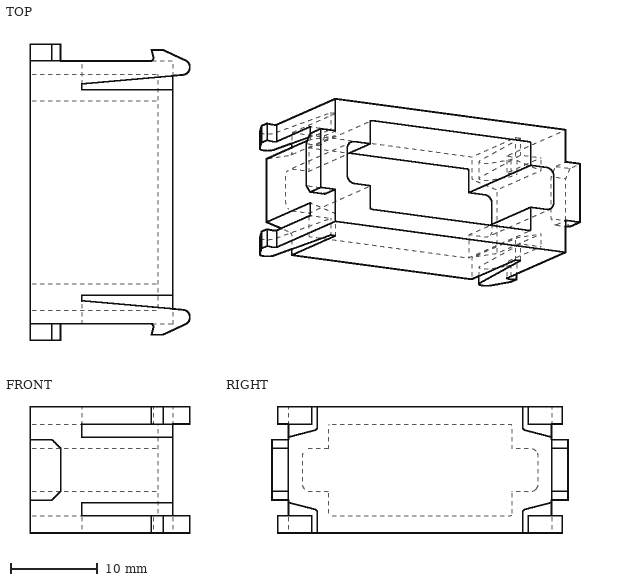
import cadquery as cq
import math

body_depth = 16.5
body_half_length = 15.2
height = 14.6
half_height = height / 2

back_wall = 1.7
cavity_depth = body_depth - back_wall
cavity_length = 21.15
cavity_height = 10.57
cavity_corner_radius = 0.17
side_pocket_length = 27.22
side_pocket_height = 5.0
side_pocket_radius = 0.92

tab_reach = 17.1
tab_depth = 3.52
tab_height = 6.98
tab_chamfer = 1.0

arm_thickness = 2.02
slot_start = 6.0
slot_inner_y = 11.87
slot_inner_depth = 2.67
slot_outer_depth = 3.52
slot_fillet = 0.35
arm_root_y = 12.52

hook_tip_x = 14.02
hook_tip_y = 16.45
hook_back_x = 14.23
hook_back_y = 15.63
hook_root_rise = 0.25
hook_flat_end_x = 15.35
hook_slope_angle = math.radians(25.6)
arm_reach = 18.47
nose_radius = 0.9
nose_x = arm_reach - nose_radius
nose_y = 14.43
arm_inner_angle = math.radians(4.8)


def nose_point(angle):
    """Point on the rounded nose at an angle measured from +X."""
    return (nose_x + nose_radius * math.cos(angle), nose_y + nose_radius * math.sin(angle))


def make_block():
    block = cq.Workplane("XY").box(
        body_depth, 2 * body_half_length, height, centered=(False, True, True)
    )
    tabs = (
        cq.Workplane("XY")
        .box(tab_depth, 2 * tab_reach, tab_height, centered=(False, True, True))
        .edges("|Y and >X")
        .chamfer(tab_chamfer)
    )
    return block.union(tabs)


def cavity_prism(length, prism_height, corner_radius):
    return (
        cq.Workplane("YZ")
        .rect(length, prism_height)
        .extrude(cavity_depth)
        .edges("|X")
        .fillet(corner_radius)
    )


def make_slot():
    """Space around the upper arm on the +Y side, with a sloping floor."""
    return (
        cq.Workplane("YZ", origin=(slot_start, 0, 0))
        .moveTo(slot_inner_y, half_height)
        .lineTo(slot_inner_y, half_height - slot_inner_depth)
        .lineTo(body_half_length, half_height - slot_outer_depth)
        .lineTo(body_half_length, half_height)
        .close()
        .extrude(body_depth - slot_start)
        .edges(cq.selectors.NearestToPointSelector(
            ((slot_start + body_depth) / 2, slot_inner_y, half_height - slot_inner_depth)
        ))
        .fillet(slot_fillet)
    )


def make_arm():
    """Upper arm on the +Y side, tapered inside and hooked outward."""
    upper_tangent = nose_point(math.pi / 2 - hook_slope_angle)
    lower_tangent = nose_point(-math.pi / 2 + arm_inner_angle)
    return (
        cq.Workplane("XY", origin=(0, 0, half_height - arm_thickness))
        .moveTo(slot_start, arm_root_y)
        .lineTo(slot_start, body_half_length)
        .lineTo(hook_tip_x, body_half_length)
        .threePointArc((hook_back_x, body_half_length + hook_root_rise), (hook_back_x, hook_back_y))
        .lineTo(hook_tip_x, hook_tip_y)
        .lineTo(hook_flat_end_x, hook_tip_y)
        .lineTo(*upper_tangent)
        .threePointArc(nose_point(0), lower_tangent)
        .close()
        .extrude(arm_thickness)
    )


def mirrored_to_corners(shape):
    """The shape at all four Y/Z corners."""
    pair = shape.union(shape.mirror("XZ"))
    return pair.union(pair.mirror("XY"))


result = (
    make_block()
    .cut(cavity_prism(cavity_length, cavity_height, cavity_corner_radius))
    .cut(cavity_prism(side_pocket_length, side_pocket_height, side_pocket_radius))
    .cut(mirrored_to_corners(make_slot()))
    .union(mirrored_to_corners(make_arm()))
)